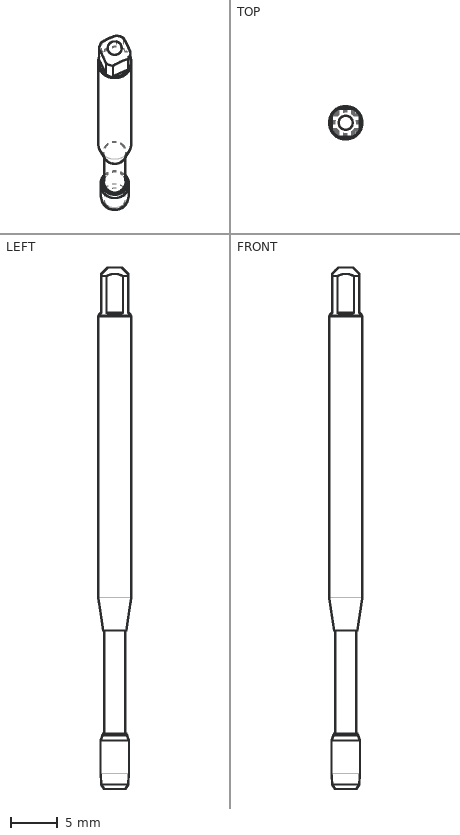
import cadquery as cq

total_length = 56.1

tip_diameter = 2.3
tip_chamfer_top = 0.5
lead_start_diameter = 2.9
lead_top = 1.7
head_diameter = 3.1
head_top = 5.2
head_shoulder_diameter = 2.7
shoulder_top = 5.8

neck_diameter = 2.3
foot_top = 6.0
foot_top_diameter = 2.45
neck_top = 17.05
taper_bottom_diameter = 2.5
shank_bottom = 20.6
shank_diameter = 3.6
shank_top = 50.8

square_width = 2.9
square_corner_diameter = 3.4
drive_end_diameter = 1.5
drive_root_height = 0.1
flat_bottom = 51.2
run_out_rise = 0.3


def revolved_body(profile):
    """Turn (diameter, height) pairs, listed from bottom to top, about Z."""
    bottom = profile[0][1]
    top = profile[-1][1]
    rim = [(diameter / 2, height) for diameter, height in profile]
    outline = cq.Workplane("XZ").polyline([(0, bottom), *rim, (0, top)]).close()
    return outline.revolve(360, (0, 0), (0, 1))


def make_cutting_head():
    """Cylindrical head with a tapered lead, a tip chamfer and a tapered rear shoulder."""
    return revolved_body([
        (tip_diameter, 0),
        (lead_start_diameter, tip_chamfer_top),
        (head_diameter, lead_top),
        (head_diameter, head_top),
        (head_shoulder_diameter, shoulder_top),
    ])


def make_square_drive():
    """Round stub with four milled flats that run out on sloped planes, and a cone on top."""
    end_cone_drop = (square_corner_diameter - drive_end_diameter) / 2
    stub = revolved_body([
        (shank_diameter, shank_top),
        (square_corner_diameter, shank_top + drive_root_height),
        (square_corner_diameter, total_length - end_cone_drop),
        (drive_end_diameter, total_length),
    ])
    run_out = (
        cq.Workplane("XY", origin=(0, 0, flat_bottom - run_out_rise))
        .rect(shank_diameter, shank_diameter)
        .workplane(offset=run_out_rise)
        .rect(square_width, square_width)
        .loft(ruled=True)
    )
    root = (
        cq.Workplane("XY", origin=(0, 0, shank_top))
        .rect(shank_diameter, shank_diameter)
        .extrude(flat_bottom - run_out_rise - shank_top)
    )
    square = (
        cq.Workplane("XY", origin=(0, 0, flat_bottom))
        .rect(square_width, square_width)
        .extrude(total_length - flat_bottom)
    )
    return stub.intersect(root.union(run_out).union(square))


def make_shank():
    """Flared foot, neck, taper and round shank carrying the square drive."""
    turned = revolved_body([
        (head_shoulder_diameter, shoulder_top),
        (foot_top_diameter, foot_top),
        (neck_diameter, foot_top),
        (neck_diameter, neck_top),
        (taper_bottom_diameter, neck_top),
        (shank_diameter, shank_bottom),
        (shank_diameter, shank_top),
    ])
    return turned.union(make_square_drive())


cutting_head = make_cutting_head()
shank = make_shank()

result = cq.Compound.makeCompound([cutting_head.val(), shank.val()])